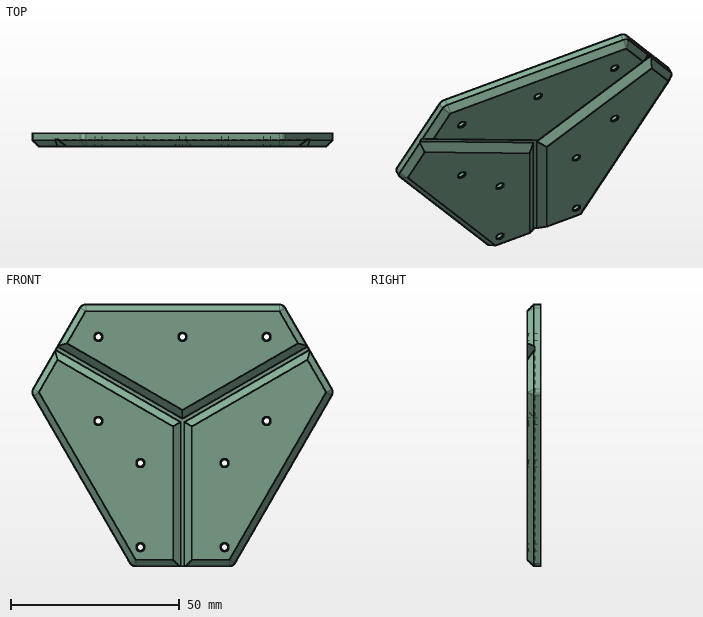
import cadquery as cq
import math

thickness = 4.0
height = 77.7
long_side_distance = 34.6
short_side_distance = height - long_side_distance
edge_chamfer = 2.0
corner_radius = edge_chamfer + 0.04

groove_depth = 2.2
groove_floor_width = 1.2
groove_top_width = groove_floor_width + 2 * groove_depth

hole_diameter = 2.05
hole_rim_diameter = 2.6
hole_pitch = 25.0
half_pitch = hole_pitch / 2
hole_centres = [(x, hole_pitch) for x in (-hole_pitch, 0, hole_pitch)]
hole_centres += [(x, 0) for x in (-hole_pitch, hole_pitch)]
hole_centres += [(x, z) for x in (-half_pitch, half_pitch) for z in (-half_pitch, -half_pitch - hole_pitch)]


def hexagon_corners():
    """Intersections of neighbouring sides, taken counter-clockwise from the upper right."""
    corners = []
    for index in range(6):
        normal = math.radians(30 + 60 * index)
        near, far = short_side_distance, long_side_distance
        if index % 2:
            near, far = far, near
        along = (far - near * math.cos(math.pi / 3)) / math.sin(math.pi / 3)
        corners.append((near * math.cos(normal) - along * math.sin(normal),
                        near * math.sin(normal) + along * math.cos(normal)))
    return corners


def make_plate():
    plate = cq.Workplane("XZ").polyline(hexagon_corners()).close().extrude(thickness)
    return plate.edges("|Y").fillet(corner_radius).faces("<Y").edges().chamfer(edge_chamfer)


def make_groove():
    """Downward groove, pointed at the centre so that three of them meet in mitres."""
    length = height
    half_top = groove_top_width / 2
    half_floor = groove_floor_width / 2
    floor_y = groove_depth - thickness
    bar = (
        cq.Workplane("XY")
        .polyline([
            (-half_top, -thickness),
            (half_top, -thickness),
            (half_floor, floor_y),
            (-half_floor, floor_y),
        ])
        .close()
        .extrude(length, both=True)
    )
    reach = length * math.tan(math.pi / 3)
    sector = (
        cq.Workplane("XZ")
        .polyline([(0, 0), (-reach, -length), (reach, -length)])
        .close()
        .extrude(thickness)
    )
    return bar.intersect(sector)


def make_holes():
    """Through bores, each with a small 45 degree countersink at the decorated face."""
    rim_depth = (hole_rim_diameter - hole_diameter) / 2
    bores = cq.Workplane("XZ").pushPoints(hole_centres).circle(hole_diameter / 2).extrude(thickness)
    rims = (
        cq.Workplane("XZ", origin=(0, -thickness, 0))
        .pushPoints(hole_centres)
        .circle(hole_rim_diameter / 2)
        .extrude(-rim_depth, taper=45)
    )
    return bores.union(rims)


result = make_plate()
for angle in (0, 120, 240):
    result = result.cut(make_groove().rotate((0, 0, 0), (0, 1, 0), angle))
result = result.cut(make_holes())